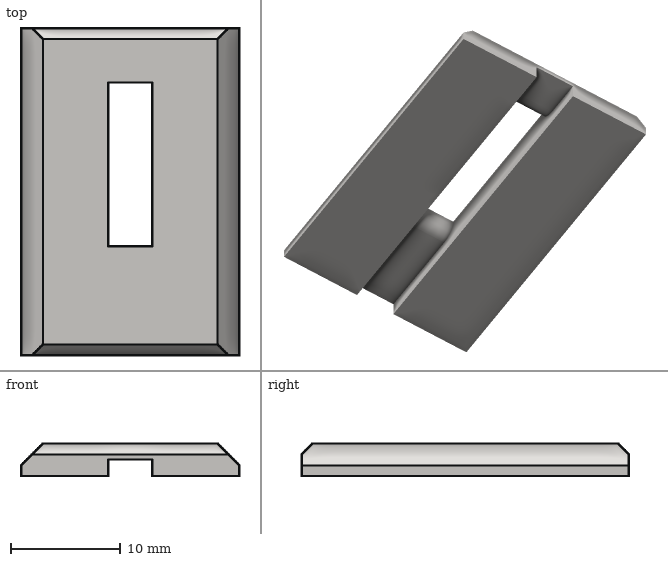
import cadquery as cq
import math

length = 30.0
width = 20.0
thickness = 3.0

side_bevel = 2.0
end_bevel = side_bevel / 2

slot_width = 4.0
slot_length = length / 2
slot_end_margin = length / 6
slot_center_y = length / 2 - slot_end_margin - slot_length / 2

groove_depth = thickness / 2
end_round = thickness - groove_depth


def beveled_plate():
    """Plate resting on Z = 0, with 45 degree bevels on its four top edges."""
    plate = cq.Workplane("XY").box(width, length, thickness, centered=(True, True, False))
    side_profile = [
        (-width / 2, 0),
        (width / 2, 0),
        (width / 2, thickness - side_bevel),
        (width / 2 - side_bevel, thickness),
        (-width / 2 + side_bevel, thickness),
        (-width / 2, thickness - side_bevel),
    ]
    side_envelope = cq.Workplane("XZ").polyline(side_profile).close().extrude(length / 2, both=True)
    return plate.faces(">Z").edges("|X").chamfer(end_bevel).intersect(side_envelope)


def window():
    """Cutter through the plate; both ends flare out in a convex round toward the groove."""
    half_top = slot_length / 2
    half_bottom = half_top + end_round
    mid_offset = end_round * (1 - math.sqrt(0.5))
    half_mid = half_top + mid_offset
    mid_height = groove_depth + mid_offset
    return (
        cq.Workplane("YZ")
        .center(slot_center_y, 0)
        .moveTo(-half_top, thickness)
        .lineTo(half_top, thickness)
        .threePointArc((half_mid, mid_height), (half_bottom, groove_depth))
        .lineTo(-half_bottom, groove_depth)
        .threePointArc((-half_mid, mid_height), (-half_top, thickness))
        .close()
        .extrude(slot_width / 2, both=True)
    )


def bottom_groove():
    """Cutter running the whole length of the underside."""
    return cq.Workplane("XY").rect(slot_width, length).extrude(groove_depth)


result = beveled_plate().cut(window()).cut(bottom_groove())